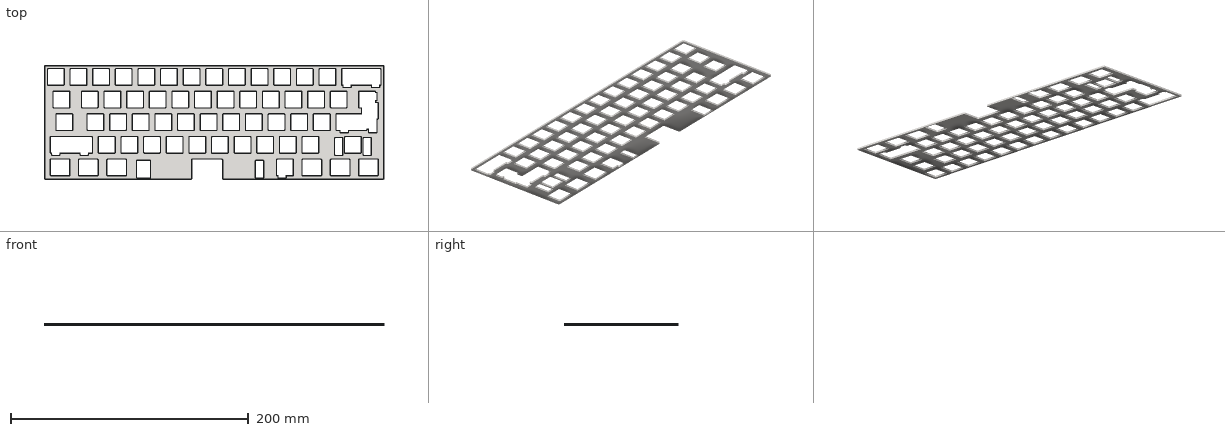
import cadquery as cq

plate_length = 285.8
plate_width = 95.7
plate_thickness = 1.5
corner_radius = 1.0
opening_corner_radius = 0.5
keys_across = 15
key_rows = 5
NUMBER, UPPER, HOME, LOWER, BOTTOM = range(1, key_rows + 1)
pitch = plate_length / keys_across

web = 5.1
switch_side = pitch - web

slot_width = 7.0
slot_reach_above = 6.0
slot_reach_below = 9.0
slot_length = slot_reach_above + slot_reach_below
slot_shift = (slot_reach_below - slot_reach_above) / 2
short_key_slot_offset = 12.0
medium_bar_slot_offset = 50.0
long_bar_slot_offset = 57.2

number_row_keys = (0.5, 13)
upper_row_keys = (2.0, 12)
home_row_keys = (2.25, 11)
lower_row_keys = (2.75, 10)

backspace = 14
split_backspaces = (13.5, 14.5)
tab = 0.75
backslash = 14.25
caps_lock = 0.875
enter = 13.875
split_enter = 13.25
tall_enter = 14.375
tall_enter_row = (UPPER + HOME) / 2
left_shift = 1.125
split_left_shifts = (0.625, 1.75)
right_shift = 13.625
bottom_row_keys = (
    0.625, 0.75, 1.875, 2.0, 3.125, 3.25,
    10.625, 11.75, 11.875, 13.0, 13.125, 14.25, 14.375,
)
medium_space_bar = 6.875
long_space_bar = 7.5


def key_x(column):
    return column * pitch - plate_length / 2


def key_y(row):
    return plate_width / 2 - (row - 0.5) * pitch


def opening(x, y, length, width):
    """Round-cornered block through the plate, centred on (x, y)."""
    block = cq.Workplane("XY").box(length, width, plate_thickness)
    return block.edges("|Z").fillet(opening_corner_radius).translate((x, y, 0))


def switch(column, row):
    return [opening(key_x(column), key_y(row), switch_side, switch_side)]


def switch_run(run, row):
    first, count = run
    return [block for i in range(count) for block in switch(first + i, row)]


def stabilizer(column, row, offset):
    y = key_y(row) - slot_shift
    return [opening(key_x(column) + side * offset, y, slot_width, slot_length) for side in (-1, 1)]


def stabilized_switch(column, row):
    return switch(column, row) + stabilizer(column, row, short_key_slot_offset)


def bridge(first, last, row):
    """Opening that joins the switches at two columns into one long window."""
    length = (last - first) * pitch + switch_side
    return [opening(key_x((first + last) / 2), key_y(row), length, switch_side)]


def tall_enter_openings():
    """Key two rows tall: its stabilizer is turned a quarter turn, with the long reach to the left."""
    x = key_x(tall_enter)
    y = key_y(tall_enter_row)
    slots = [
        opening(x - slot_shift, y + side * short_key_slot_offset, slot_length, slot_width)
        for side in (-1, 1)
    ]
    neck = opening(x, y - short_key_slot_offset / 2, slot_width, short_key_slot_offset)
    return switch(tall_enter, tall_enter_row) + slots + [neck]


def space_bar_notch():
    """Both space bar switches share one window that opens through the front edge."""
    left = key_x(medium_space_bar) - switch_side / 2
    right = key_x(long_space_bar) + switch_side / 2
    top = key_y(BOTTOM) + switch_side / 2
    bottom = -plate_width / 2
    notch = cq.Workplane("XY").box(right - left, top - bottom, plate_thickness)
    notch = notch.edges("|Z and >Y").fillet(opening_corner_radius)
    return notch.translate(((left + right) / 2, (top + bottom) / 2, 0))


number_row = switch_run(number_row_keys, NUMBER)
number_row += stabilized_switch(backspace, NUMBER) + bridge(*split_backspaces, NUMBER)
upper_row = switch(tab, UPPER) + switch_run(upper_row_keys, UPPER) + switch(backslash, UPPER)
home_row = switch(caps_lock, HOME) + switch_run(home_row_keys, HOME)
home_row += stabilized_switch(enter, HOME) + bridge(split_enter, enter, HOME) + tall_enter_openings()
lower_row = stabilized_switch(left_shift, LOWER) + bridge(*split_left_shifts, LOWER)
lower_row += switch_run(lower_row_keys, LOWER) + stabilized_switch(right_shift, LOWER)
bottom_row = [block for column in bottom_row_keys for block in switch(column, BOTTOM)]
bottom_row += stabilizer(medium_space_bar, BOTTOM, medium_bar_slot_offset)
bottom_row += stabilizer(long_space_bar, BOTTOM, long_bar_slot_offset)

plate = cq.Workplane("XY").box(plate_length, plate_width, plate_thickness)
plate = plate.cut(space_bar_notch())
plate = plate.edges("|Z and (<X or >X or <Y)").fillet(corner_radius)

cutouts = [block.val() for block in number_row + upper_row + home_row + lower_row + bottom_row]
result = cq.Workplane(plate.val().cut(*cutouts)).solids()